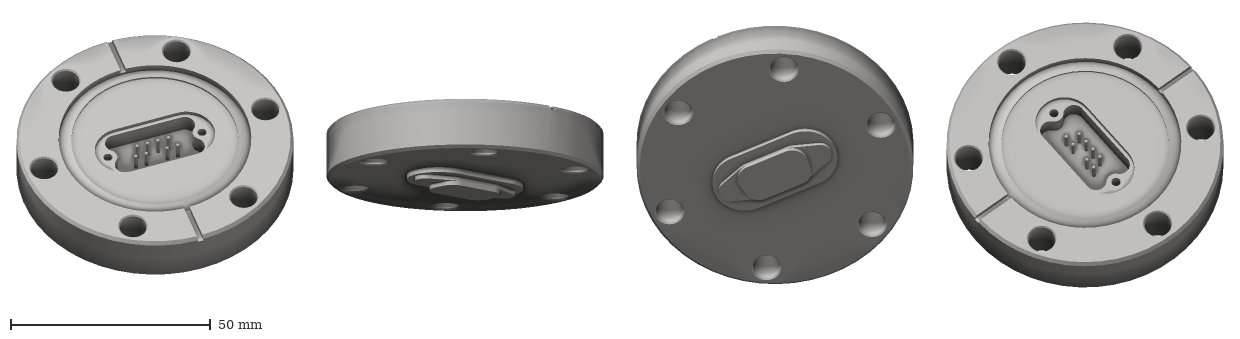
import cadquery as cq
import math

disc_dia = 69.35
disc_thick = 12.7
rim_chamfer = 0.75

bolt_count = 6
bolt_circle_dia = 58.7
bolt_hole_dia = 6.8
bolt_hole_chamfer = 0.35

recess_radius = 24.1
knife_radius = 20.95
knife_depth = 0.75
knife_slope_angle = 20.0
floor_depth = 1.3

slot_width = 1.45
slot_depth = 1.25
slot_inner_radius = 23.2

ledge_length = 31.05
ledge_width = 14.4
ledge_depth = 1.1
screw_spacing = 24.95
screw_hole_dia = 2.3
cavity_width = 12.7
cavity_length = 23.6
cavity_depth = 4.85
screw_land_radius = 2.35

pin_dia = 1.0
pin_height = 4.6
pin_tip_fillet = 0.4
pin_pitch = 2.8
pin_row_x = 1.5
left_row_steps = (-1.5, -0.5, 0.5, 1.5)
right_row_steps = (-2, -1, 1, 2)

boss_length = 32.95
boss_width = 16.15
boss_height = 1.25
lug_radius = 2.9
lug_taper_angle = 19.5
lug_corner_radius = 4.85
lug_height = 1.05
shell_width = 10.4
shell_narrow_flat = 10.55
shell_narrow_radius = 3.6
shell_wide_radius = 4.0
shell_side_angle = 9.0
shell_height = 1.05

floor_z = disc_thick - floor_depth
ledge_z = floor_z - ledge_depth
cavity_z = ledge_z - cavity_depth
screw_y = screw_spacing / 2
shell_half_width = shell_width / 2


def make_disc():
    """Disc with chamfered rims, knife-edge recess and inner floor, as one revolved profile."""
    radius = disc_dia / 2
    slope_drop = (recess_radius - knife_radius) * math.tan(math.radians(knife_slope_angle))
    knife_z = disc_thick - knife_depth
    return (
        cq.Workplane("XZ")
        .moveTo(0, 0)
        .lineTo(radius - rim_chamfer, 0)
        .lineTo(radius, rim_chamfer)
        .lineTo(radius, disc_thick - rim_chamfer)
        .lineTo(radius - rim_chamfer, disc_thick)
        .lineTo(recess_radius, disc_thick)
        .lineTo(recess_radius, knife_z - slope_drop)
        .lineTo(knife_radius, knife_z)
        .lineTo(knife_radius, floor_z)
        .lineTo(0, floor_z)
        .close()
        .revolve(360, (0, 0, 0), (0, 1, 0))
    )


def bolt_hole_cutter():
    """Through hole with a chamfer at both faces, on the disc axis."""
    hole_radius = bolt_hole_dia / 2
    mouth_radius = hole_radius + bolt_hole_chamfer
    return (
        cq.Workplane("XZ")
        .moveTo(0, 0)
        .lineTo(mouth_radius, 0)
        .lineTo(hole_radius, bolt_hole_chamfer)
        .lineTo(hole_radius, disc_thick - bolt_hole_chamfer)
        .lineTo(mouth_radius, disc_thick)
        .lineTo(0, disc_thick)
        .close()
        .revolve(360, (0, 0, 0), (0, 1, 0))
    )


def slot_cutter(side):
    """Radial leak-check slot; side is +1 or -1 along X."""
    slot_length = disc_dia / 2 - slot_inner_radius
    middle_x = side * (slot_inner_radius + slot_length / 2)
    return (
        cq.Workplane("XY", origin=(middle_x, 0, disc_thick - slot_depth))
        .rect(slot_length, slot_width)
        .extrude(slot_depth)
    )


def cavity_cutter():
    """Connector cavity: four corner lobes blend tangentially into arcs around the screw holes."""
    half_width = cavity_width / 2
    half_length = cavity_length / 2
    end_gap = screw_y - half_length
    half_b = half_width + screw_land_radius - end_gap
    c = half_width**2 + end_gap**2 - screw_land_radius**2
    lobe_radius = half_b - math.sqrt(half_b**2 - c)
    lobe_x = half_width - lobe_radius
    lobe_y = half_length - lobe_radius

    share = screw_land_radius / (screw_land_radius + lobe_radius)
    touch_x = lobe_x * share
    touch_y = screw_y - (screw_y - lobe_y) * share
    land_y = screw_y - screw_land_radius

    return (
        cq.Workplane("XY", origin=(0, 0, cavity_z))
        .moveTo(half_width, -lobe_y)
        .lineTo(half_width, lobe_y)
        .threePointArc((lobe_x, half_length), (touch_x, touch_y))
        .threePointArc((0, land_y), (-touch_x, touch_y))
        .threePointArc((-lobe_x, half_length), (-half_width, lobe_y))
        .lineTo(-half_width, -lobe_y)
        .threePointArc((-lobe_x, -half_length), (-touch_x, -touch_y))
        .threePointArc((0, -land_y), (touch_x, -touch_y))
        .threePointArc((lobe_x, -half_length), (half_width, -lobe_y))
        .close()
        .extrude(cavity_depth)
    )


def make_pins():
    """Two staggered rows of round-tipped pins standing on the cavity floor."""
    places = [(-pin_row_x, step * pin_pitch) for step in left_row_steps]
    places += [(pin_row_x, step * pin_pitch) for step in right_row_steps]
    return (
        cq.Workplane("XY", origin=(0, 0, cavity_z))
        .pushPoints(places)
        .circle(pin_dia / 2)
        .extrude(pin_height)
        .faces(">Z")
        .edges()
        .fillet(pin_tip_fillet)
    )


def make_lug_plate(top_z):
    """Plate tapering from the shell width to a round lug under each screw hole."""
    taper = math.radians(lug_taper_angle)
    tangent_x = lug_radius * math.cos(taper)
    tangent_y = screw_y + lug_radius * math.sin(taper)
    corner_y = tangent_y - (shell_half_width - tangent_x) / math.tan(taper)
    tip_y = screw_y + lug_radius
    plate = (
        cq.Workplane("XY", origin=(0, 0, top_z - lug_height))
        .moveTo(shell_half_width, -corner_y)
        .lineTo(shell_half_width, corner_y)
        .lineTo(tangent_x, tangent_y)
        .threePointArc((0, tip_y), (-tangent_x, tangent_y))
        .lineTo(-shell_half_width, corner_y)
        .lineTo(-shell_half_width, -corner_y)
        .lineTo(-tangent_x, -tangent_y)
        .threePointArc((0, -tip_y), (tangent_x, -tangent_y))
        .close()
        .extrude(lug_height)
    )
    return plate.edges("|Z").edges("<X or >X").fillet(lug_corner_radius)


def make_shell(top_z, height):
    """D-shaped connector shell, wider on the +X side, with rounded corners."""
    side_angle = math.radians(shell_side_angle)
    narrow_half = (
        shell_narrow_flat / 2 + shell_narrow_radius * math.tan(math.pi / 4 - side_angle / 2)
    )
    wide_half = narrow_half + shell_width * math.tan(side_angle)
    return (
        cq.Workplane("XY", origin=(0, 0, top_z - height))
        .polyline([
            (-shell_half_width, -narrow_half),
            (shell_half_width, -wide_half),
            (shell_half_width, wide_half),
            (-shell_half_width, narrow_half),
        ])
        .close()
        .extrude(height)
        .edges("|Z")
        .edges("<X")
        .fillet(shell_narrow_radius)
        .edges("|Z")
        .edges(">X")
        .fillet(shell_wide_radius)
    )


result = make_disc()
for index in range(bolt_count):
    hole = bolt_hole_cutter().translate((0, bolt_circle_dia / 2, 0))
    result = result.cut(hole.rotate((0, 0, 0), (0, 0, 1), index * 360 / bolt_count))
for side in (-1, 1):
    result = result.cut(slot_cutter(side))

boss = cq.Workplane("XY").slot2D(boss_length, boss_width, 90).extrude(-boss_height)
result = (
    result.union(boss)
    .union(make_lug_plate(-boss_height))
    .union(make_shell(-boss_height, lug_height + shell_height))
)

ledge = (
    cq.Workplane("XY", origin=(0, 0, ledge_z))
    .slot2D(ledge_length, ledge_width, 90)
    .extrude(ledge_depth)
)
screw_holes = (
    cq.Workplane("XY", origin=(0, 0, cavity_z))
    .pushPoints([(0, -screw_y), (0, screw_y)])
    .circle(screw_hole_dia / 2)
    .extrude(cavity_depth)
)
result = result.cut(ledge).cut(cavity_cutter()).cut(screw_holes).union(make_pins())